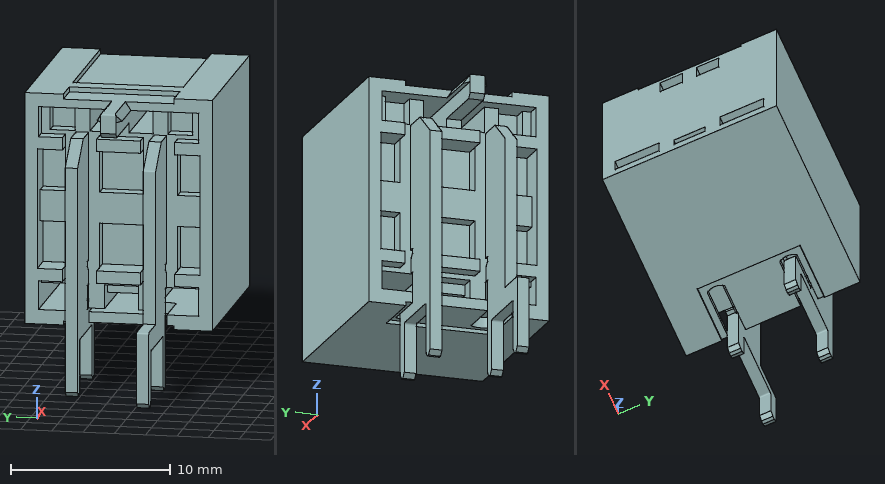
import cadquery as cq
import math


HOUSING_LENGTH = 12.85
HOUSING_WIDTH = 12.0
HOUSING_HEIGHT = 14.91

PLATE_X = 1.0
CAVITY_HALF_WIDTH = 5.12
CAVITY_FLOOR = 0.95
CAVITY_ROOF = 14.05
SIDE_RELIEF_HALF_WIDTH = 5.2

POCKET_DEPTH = 1.0
POCKET_MID_Z = 7.45
POCKET_OUTER_RISE = 3.85
POCKET_INNER_RISE = 1.0
TAB_HEIGHT = 0.8
SIDE_POCKET_INNER_Y = 3.6
CENTRE_POCKET_HALF_WIDTH = 1.4
PLATE_TOP = 12.36
TOP_POCKET_INNER_Y = 2.97
TOP_POCKET_OUTER_Y = 4.55

TOP_OPENING_OUTER_Y = 2.02
LOWER_OPENING_TOP = 2.48
CENTRE_OPENING_HALF_WIDTH = 1.08
CENTRE_OPENING_TOP = 1.78

RECESS_HALF_WIDTH = 3.53
TOP_RECESS_DEPTH = 0.32
REAR_RECESS_LENGTH = 2.06
FRONT_RECESS_START = 3.3
BOTTOM_RECESS_DEPTH = 0.25
BOTTOM_RECESS_LENGTH = 3.78

KEY_LENGTH = 3.57
KEY_TOP_HALF_WIDTH = 0.43
KEY_HEAD_HALF_WIDTH = 0.8
KEY_STEM_HALF_WIDTH = 0.5
KEY_BOTTOM = 13.0
KEY_TAPER_LENGTH = 0.53
KEY_NOSE_CHAMFER = 0.32
KEY_NOSE_ROUND = 0.15

CONTACT_Y = 2.5
CONTACT_THICKNESS = 0.8
BLADE_REAR_X = -2.78
BLADE_HEEL_X = 0.6
BLADE_TOP = 12.28
BLADE_SLOPE_FOOT = 10.81
BLADE_SLOPE_END_X = -0.83
BARB_X = 0.89
BARB_TIP_Z = 3.45
BARB_ROOT_Z = 3.7
NOTCH_TOP = 4.05
FOOT_BOTTOM = -0.4
FOOT_OFFSET = 2.36
LEG_WIDTH = 0.8
LEG_BOTTOM = -3.99
TIP_HEIGHT = 0.32
TIP_WIDTH = 0.23
CORNER_ROUND = 0.15
EDGE_REACH = 0.02

SLOT_WIDTH = 1.2
SLOT_LENGTH = 3.4
SLOT_END_DIAMETER = 2.0

KEY_TOP = HOUSING_HEIGHT - TOP_RECESS_DEPTH
CONTACT_INNER_Y = CONTACT_Y - CONTACT_THICKNESS / 2


def block(x_range, y_range, z_range):
    """Box between two limits along each axis."""
    spans = (x_range, y_range, z_range)
    size = [high - low for low, high in spans]
    corner = tuple(low for low, high in spans)
    return cq.Workplane("XY").box(*size, centered=False).translate(corner)


def mirrored_block(x_range, y_range, z_range):
    """A box and its mirror image across the middle plane Y = 0."""
    side = block(x_range, y_range, z_range)
    return side.union(side.mirror("XZ"))


def pocket_levels():
    """Z limits of the lower and upper row of pockets, and of the tab beyond each row."""
    bottom = POCKET_MID_Z - POCKET_OUTER_RISE
    top = POCKET_MID_Z + POCKET_OUTER_RISE
    pockets = [
        (bottom, POCKET_MID_Z - POCKET_INNER_RISE),
        (POCKET_MID_Z + POCKET_INNER_RISE, top),
    ]
    tabs = [(bottom - TAB_HEIGHT, bottom), (top, top + TAB_HEIGHT)]
    return pockets, tabs


def cut_rear_cavity(body):
    """Open the rear, leaving the tabs level with the rear face."""
    depth = (0, PLATE_X)
    relief = (POCKET_MID_Z - POCKET_OUTER_RISE, POCKET_MID_Z + POCKET_OUTER_RISE)
    cavity = block(depth, (-CAVITY_HALF_WIDTH, CAVITY_HALF_WIDTH), (CAVITY_FLOOR, CAVITY_ROOF))
    cavity = cavity.union(block(depth, (-SIDE_RELIEF_HALF_WIDTH, SIDE_RELIEF_HALF_WIDTH), relief))
    for tab in pocket_levels()[1]:
        cavity = cavity.cut(block(depth, (-CENTRE_POCKET_HALF_WIDTH, CENTRE_POCKET_HALF_WIDTH), tab))
        cavity = cavity.cut(mirrored_block(depth, (SIDE_POCKET_INNER_Y, CAVITY_HALF_WIDTH), tab))
    return body.cut(cavity)


def cut_plate_pockets(body):
    """Blind pockets in the plate."""
    depth = (PLATE_X, PLATE_X + POCKET_DEPTH)
    for level in pocket_levels()[0]:
        body = body.cut(block(depth, (-CENTRE_POCKET_HALF_WIDTH, CENTRE_POCKET_HALF_WIDTH), level))
        body = body.cut(mirrored_block(depth, (SIDE_POCKET_INNER_Y, SIDE_RELIEF_HALF_WIDTH), level))
    top_level = (PLATE_TOP, CAVITY_ROOF)
    body = body.cut(mirrored_block(depth, (TOP_POCKET_INNER_Y, TOP_POCKET_OUTER_Y), top_level))
    centre_width = (-CENTRE_OPENING_HALF_WIDTH, CENTRE_OPENING_HALF_WIDTH)
    return body.cut(block(depth, centre_width, (CAVITY_FLOOR, LOWER_OPENING_TOP)))


def cut_through_openings(body):
    """Rectangular openings from the plate to the front face."""
    length = (PLATE_X, HOUSING_LENGTH)
    top_level = (PLATE_TOP, CAVITY_ROOF)
    low_level = (CAVITY_FLOOR, LOWER_OPENING_TOP)
    centre_width = (-CENTRE_OPENING_HALF_WIDTH, CENTRE_OPENING_HALF_WIDTH)
    body = body.cut(mirrored_block(length, (KEY_STEM_HALF_WIDTH, TOP_OPENING_OUTER_Y), top_level))
    body = body.cut(mirrored_block(length, (CONTACT_INNER_Y, CAVITY_HALF_WIDTH), low_level))
    return body.cut(block(length, centre_width, (CAVITY_FLOOR, CENTRE_OPENING_TOP)))


def cut_recesses(body):
    """Shallow recesses: two on top with a land between them, one underneath."""
    width = (-RECESS_HALF_WIDTH, RECESS_HALF_WIDTH)
    top_level = (KEY_TOP, HOUSING_HEIGHT)
    body = body.cut(block((0, REAR_RECESS_LENGTH), width, top_level))
    body = body.cut(block((FRONT_RECESS_START, HOUSING_LENGTH), width, top_level))
    return body.cut(block((0, BOTTOM_RECESS_LENGTH), width, (0, BOTTOM_RECESS_DEPTH)))


def cut_contact_slots(body):
    """Slots through the floor, open to the rear, each closed by a shallow arc at its front end."""
    half_width = SLOT_WIDTH / 2
    end_radius = SLOT_END_DIAMETER / 2
    arc_height = end_radius - math.sqrt(end_radius**2 - half_width**2)
    arc_start_x = SLOT_LENGTH - arc_height
    slot = (
        cq.Workplane("XY")
        .moveTo(0, -half_width)
        .lineTo(arc_start_x, -half_width)
        .threePointArc((SLOT_LENGTH, 0), (arc_start_x, half_width))
        .lineTo(0, half_width)
        .close()
        .extrude(CAVITY_FLOOR)
    )
    for y in (-CONTACT_Y, CONTACT_Y):
        body = body.cut(slot.translate((0, y, 0)))
    return body


def make_key():
    """Key with a dovetail-shaped head on a narrower stem, tapered at its nose."""
    head = (
        cq.Workplane("YZ")
        .workplane(offset=-KEY_LENGTH)
        .polyline([
            (-KEY_TOP_HALF_WIDTH, KEY_TOP),
            (KEY_TOP_HALF_WIDTH, KEY_TOP),
            (KEY_HEAD_HALF_WIDTH, CAVITY_ROOF),
            (-KEY_HEAD_HALF_WIDTH, CAVITY_ROOF),
        ])
        .close()
        .extrude(KEY_LENGTH)
    )
    taper = (
        cq.Workplane("XY")
        .workplane(offset=KEY_BOTTOM)
        .polyline([
            (-KEY_LENGTH, -KEY_STEM_HALF_WIDTH),
            (KEY_TAPER_LENGTH - KEY_LENGTH, -KEY_HEAD_HALF_WIDTH),
            (PLATE_X, -KEY_HEAD_HALF_WIDTH),
            (PLATE_X, KEY_HEAD_HALF_WIDTH),
            (KEY_TAPER_LENGTH - KEY_LENGTH, KEY_HEAD_HALF_WIDTH),
            (-KEY_LENGTH, KEY_STEM_HALF_WIDTH),
        ])
        .close()
        .extrude(KEY_TOP - KEY_BOTTOM)
    )
    stem_width = (-KEY_STEM_HALF_WIDTH, KEY_STEM_HALF_WIDTH)
    stem = block((-KEY_LENGTH, PLATE_X), stem_width, (KEY_BOTTOM, CAVITY_ROOF))
    stem = stem.edges("<X and <Z").chamfer(KEY_NOSE_CHAMFER)
    head = head.edges("<X and >Z").fillet(KEY_NOSE_ROUND).intersect(taper)
    return head.union(stem)


def make_housing():
    half_width = HOUSING_WIDTH / 2
    body = block((0, HOUSING_LENGTH), (-half_width, half_width), (0, HOUSING_HEIGHT))
    body = cut_rear_cavity(body)
    body = cut_plate_pockets(body)
    body = cut_through_openings(body)
    body = cut_recesses(body)
    body = cut_contact_slots(body)
    return body.union(make_key())


def edge_at(x, z):
    """Selector for the edge along Y that passes through a point of the contact outline."""
    return cq.selectors.BoxSelector(
        (x - EDGE_REACH, -HOUSING_WIDTH, z - EDGE_REACH),
        (x + EDGE_REACH, HOUSING_WIDTH, z + EDGE_REACH),
    )


def contact_plate(points, y):
    """Flat plate of contact thickness, centred on y, from an outline in X and Z."""
    sheet = cq.Workplane("XZ").polyline(points).close().extrude(CONTACT_THICKNESS / 2, both=True)
    return sheet.translate((0, y, 0))


def make_leg(left_x, y):
    """Pointed leg that hangs from the foot."""
    right_x = left_x + LEG_WIDTH
    inset = (LEG_WIDTH - TIP_WIDTH) / 2
    shoulder_z = LEG_BOTTOM + TIP_HEIGHT
    return contact_plate([
        (left_x, CAVITY_FLOOR),
        (left_x, shoulder_z),
        (left_x + inset, LEG_BOTTOM),
        (right_x - inset, LEG_BOTTOM),
        (right_x, shoulder_z),
        (right_x, CAVITY_FLOOR),
    ], y)


def make_contact(foot_left, foot_right, y):
    """Flat contact: a blade against the plate, over a foot with a leg at each end."""
    contact = contact_plate([
        (BLADE_REAR_X, FOOT_BOTTOM),
        (BLADE_HEEL_X, FOOT_BOTTOM),
        (BLADE_HEEL_X, LOWER_OPENING_TOP),
        (BARB_X, LOWER_OPENING_TOP),
        (BARB_X, BARB_TIP_Z),
        (BLADE_HEEL_X, BARB_ROOT_Z),
        (BLADE_HEEL_X, NOTCH_TOP),
        (PLATE_X, NOTCH_TOP),
        (PLATE_X, BLADE_TOP),
        (BLADE_SLOPE_END_X, BLADE_TOP),
        (BLADE_REAR_X, BLADE_SLOPE_FOOT),
    ], y)
    half_thickness = CONTACT_THICKNESS / 2
    thickness = (y - half_thickness, y + half_thickness)
    contact = contact.union(block((foot_left, foot_right), thickness, (FOOT_BOTTOM, CAVITY_FLOOR)))
    right_leg_left = foot_right - LEG_WIDTH
    for left_x in (foot_left, right_leg_left):
        contact = contact.union(make_leg(left_x, y))
    contact = contact.clean()
    for x in (foot_left + LEG_WIDTH, right_leg_left):
        contact = contact.edges(edge_at(x, FOOT_BOTTOM)).fillet(CORNER_ROUND)
    return contact


def make_rear_contact():
    """Contact whose foot reaches out to the rear, with its two rear corners rounded."""
    foot_left = BLADE_REAR_X - FOOT_OFFSET
    contact = make_contact(foot_left, BLADE_HEEL_X, -CONTACT_Y)
    for x, z in ((foot_left, CAVITY_FLOOR), (BLADE_REAR_X, BLADE_SLOPE_FOOT)):
        contact = contact.edges(edge_at(x, z)).fillet(CORNER_ROUND)
    return contact


def make_front_contact():
    """Contact whose foot reaches forward beneath the housing."""
    return make_contact(BLADE_REAR_X, BLADE_HEEL_X + FOOT_OFFSET, CONTACT_Y)


housing = make_housing()
rear_contact = make_rear_contact()
front_contact = make_front_contact()

result = cq.Compound.makeCompound([housing.val(), rear_contact.val(), front_contact.val()])